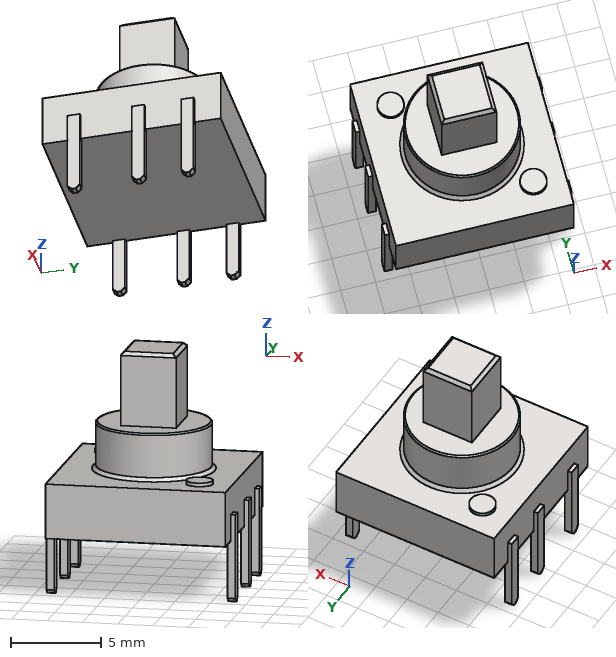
import cadquery as cq

overall_height = 13.5
body_bottom = 3.5
body_top = 6.6
pin_top = 5.0
collar_top = 9.3

body_side = 10.2

collar_diameter = 6.5
foot_flare = 0.2
foot_height = 0.2
collar_chamfer = 0.1

stem_side = 3.15
stem_chamfer = 0.2

dot_diameter = 1.5
dot_height = foot_height
dot_offset = 3.25

pin_span = 10.7
pin_thickness = 0.45
pin_width = 0.7
pin_tip_chamfer = 0.23
outer_pin_y = 3.25
middle_pin_y = 0.43


def make_body():
    height = body_top - body_bottom
    return (
        cq.Workplane("XY", origin=(0, 0, body_bottom))
        .rect(body_side, body_side)
        .extrude(height)
    )


def make_collar():
    """Revolve the collar profile: flared foot, straight wall, chamfered rim."""
    radius = collar_diameter / 2
    return (
        cq.Workplane("XZ")
        .moveTo(0, body_top)
        .lineTo(radius + foot_flare, body_top)
        .lineTo(radius, body_top + foot_height)
        .lineTo(radius, collar_top - collar_chamfer)
        .lineTo(radius - collar_chamfer, collar_top)
        .lineTo(0, collar_top)
        .close()
        .revolve(360, (0, 0, 0), (0, 1, 0))
    )


def make_stem():
    return (
        cq.Workplane("XY", origin=(0, 0, collar_top))
        .rect(stem_side, stem_side)
        .extrude(overall_height - collar_top)
        .faces(">Z")
        .chamfer(stem_chamfer)
    )


def make_dots():
    return (
        cq.Workplane("XY", origin=(0, 0, body_top))
        .pushPoints([(-dot_offset, dot_offset), (dot_offset, -dot_offset)])
        .circle(dot_diameter / 2)
        .extrude(dot_height)
    )


def make_pin(x, y):
    """Flat pin centred at (x, y) whose tip narrows across its width."""
    return (
        cq.Workplane("XY", origin=(x, y, 0))
        .rect(pin_thickness, pin_width)
        .extrude(pin_top)
        .faces("<Z")
        .edges("|X")
        .chamfer(pin_tip_chamfer)
    )


result = make_body().union(make_collar()).union(make_stem()).union(make_dots())

pin_x = (pin_span - pin_thickness) / 2
for x in (-pin_x, pin_x):
    for y in (-outer_pin_y, middle_pin_y, outer_pin_y):
        result = result.union(make_pin(x, y))